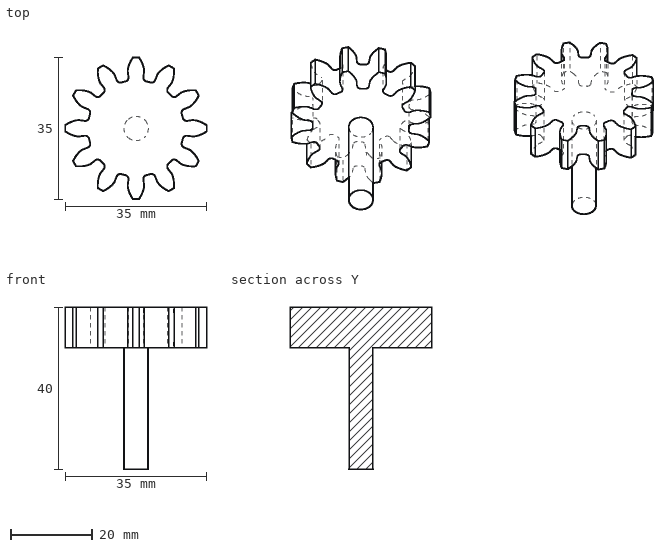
import cadquery as cq
import math

total_height = 40.0
gear_thickness = 10.0
gear_diameter = 35.0
shaft_diameter = 6.0
tooth_count = 12
pressure_angle = math.radians(20)

addendum_factor = 1
dedendum_factor = 1.25
root_fillet_factor = 0.38

involute_steps = 8

gear_module = gear_diameter / (tooth_count + 2 * addendum_factor)
tip_radius = gear_diameter / 2
pitch_radius = gear_module * tooth_count / 2
base_radius = pitch_radius * math.cos(pressure_angle)
root_radius = pitch_radius - dedendum_factor * gear_module
root_fillet = root_fillet_factor * gear_module

tooth_pitch = 2 * math.pi / tooth_count
involute_at_pitch = math.tan(pressure_angle) - pressure_angle
base_half_angle = tooth_pitch / 4 + involute_at_pitch

fillet_center_radius = root_radius + root_fillet
fillet_angle = math.asin(root_fillet / fillet_center_radius)
flank_start_radius = fillet_center_radius * math.cos(fillet_angle)
root_half_angle = base_half_angle + fillet_angle


def polar(radius, angle):
    return (radius * math.cos(angle), radius * math.sin(angle))


def involute_point(roll, tooth_angle, side):
    """Point on a flank; roll is the unwound angle, side is -1 or 1."""
    radius = base_radius * math.hypot(1, roll)
    half_angle = base_half_angle - (roll - math.atan(roll))
    return polar(radius, tooth_angle + side * half_angle)


def fillet_middle(tooth_angle, side):
    """Middle of the root fillet beside a tooth."""
    center_angle = tooth_angle + side * root_half_angle
    center_x, center_y = polar(fillet_center_radius, center_angle)
    flank_normal = tooth_angle + side * (base_half_angle - math.pi / 2)
    root_normal = center_angle + math.pi
    turn = math.remainder(root_normal - flank_normal, 2 * math.pi)
    offset_x, offset_y = polar(root_fillet, flank_normal + turn / 2)
    return (center_x + offset_x, center_y + offset_y)


def add_tooth(outline, tooth_angle):
    """Continue the outline over one tooth and along the root to the next."""
    tip_roll = math.sqrt((tip_radius / base_radius) ** 2 - 1)
    rolls = [tip_roll * step / involute_steps for step in range(involute_steps + 1)]
    rising_flank = [involute_point(roll, tooth_angle, -1) for roll in rolls]
    falling_flank = [involute_point(roll, tooth_angle, 1) for roll in reversed(rolls)]
    next_tooth_angle = tooth_angle + tooth_pitch

    return (
        outline
        .threePointArc(
            fillet_middle(tooth_angle, -1),
            polar(flank_start_radius, tooth_angle - base_half_angle),
        )
        .lineTo(*rising_flank[0])
        .spline(rising_flank[1:], includeCurrent=True)
        .threePointArc(polar(tip_radius, tooth_angle), falling_flank[0])
        .spline(falling_flank[1:], includeCurrent=True)
        .lineTo(*polar(flank_start_radius, tooth_angle + base_half_angle))
        .threePointArc(
            fillet_middle(tooth_angle, 1),
            polar(root_radius, tooth_angle + root_half_angle),
        )
        .threePointArc(
            polar(root_radius, tooth_angle + tooth_pitch / 2),
            polar(root_radius, next_tooth_angle - root_half_angle),
        )
    )


def make_gear():
    outline = cq.Workplane("XY").moveTo(*polar(root_radius, -root_half_angle))
    for tooth in range(tooth_count):
        outline = add_tooth(outline, tooth * tooth_pitch)
    return outline.close().extrude(gear_thickness)


def make_shaft():
    shaft_length = total_height - gear_thickness
    return cq.Workplane("XY").circle(shaft_diameter / 2).extrude(-shaft_length)


result = make_gear().union(make_shaft())